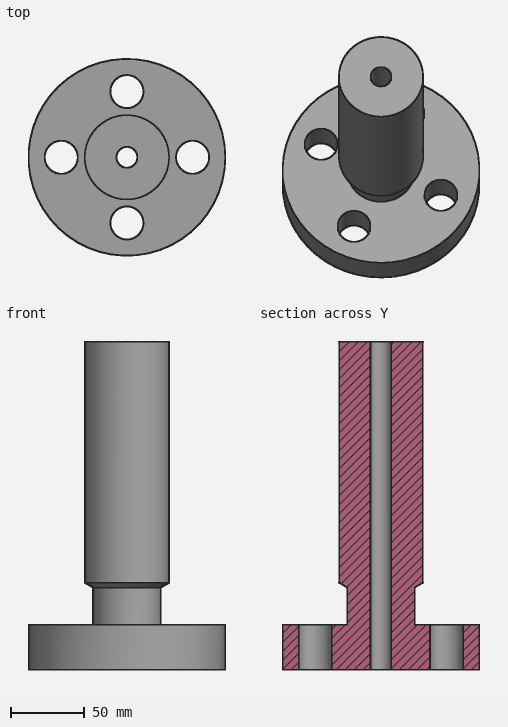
import cadquery as cq
import math

total_height = 222.2
flange_diameter = 133.4
flange_thickness = 30.7
neck_diameter = 46.0
barrel_diameter = 57.1
barrel_start = 55.8
cone_angle = 30.0
bore_diameter = 14.0
bolt_hole_diameter = 22.2
bolt_circle_diameter = 89.0
bolt_count = 4

neck_radius = neck_diameter / 2
barrel_radius = barrel_diameter / 2
cone_height = (barrel_radius - neck_radius) * math.tan(math.radians(cone_angle))


def turned_body():
    """Flange, neck, cone and barrel revolved as one profile about Z."""
    flange_radius = flange_diameter / 2
    return (
        cq.Workplane("XZ")
        .moveTo(0, 0)
        .lineTo(flange_radius, 0)
        .lineTo(flange_radius, flange_thickness)
        .lineTo(neck_radius, flange_thickness)
        .lineTo(neck_radius, barrel_start)
        .lineTo(barrel_radius, barrel_start + cone_height)
        .lineTo(barrel_radius, total_height)
        .lineTo(0, total_height)
        .close()
        .revolve(360, (0, 0, 0), (0, 1, 0))
    )


def center_bore():
    """Bore along the axis, through the whole part."""
    return cq.Workplane("XY").circle(bore_diameter / 2).extrude(total_height)


def bolt_holes():
    """Bolt holes through the flange, the first one on +X."""
    return (
        cq.Workplane("XY")
        .polarArray(bolt_circle_diameter / 2, 0, 360, bolt_count)
        .circle(bolt_hole_diameter / 2)
        .extrude(flange_thickness)
    )


result = turned_body().cut(center_bore()).cut(bolt_holes())